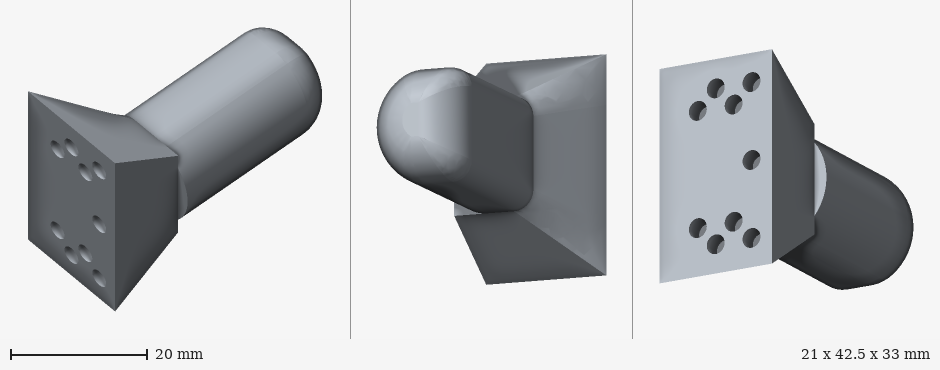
import cadquery as cq
import math

total_width = 21.0
total_length = 42.5
plate_width = 18.95
plate_height = 33.0

grip_left = 6.45
grip_height = 17.0
grip_start = 12.5
bulge_radius = 8.92
left_corner_radius = 3.0
right_corner_radius = 5.0
dome_radius = 6.0

flare_flat_height = 17.85

hole_diameter = 3.0
hole_depth = hole_diameter
hole_pitch = hole_diameter
right_hole_x = 15.5
outer_row_z = 12.0
inner_row_z = 9.0
holes_per_zigzag = 4

plate_half = plate_height / 2
grip_half = grip_height / 2
grip_length = total_length - grip_start
bulge_center_x = total_width - bulge_radius


def front_plane(y):
    """Plane at the given Y facing -Y, with its local axes along X and Z."""
    return cq.Plane(origin=(0, y, 0), xDir=(1, 0, 0), normal=(0, -1, 0))


def make_grip():
    block = (
        cq.Workplane("XY")
        .box(total_width, grip_length, grip_height, centered=(False, False, True))
        .translate((grip_left, grip_start, 0))
        .faces(">Y")
        .edges("not >X")
        .fillet(dome_radius)
    )
    bulge = (
        cq.Workplane(front_plane(grip_start))
        .moveTo(0, -bulge_radius)
        .lineTo(bulge_center_x, -bulge_radius)
        .threePointArc((total_width, 0), (bulge_center_x, bulge_radius))
        .lineTo(0, bulge_radius)
        .close()
        .extrude(-grip_length)
        .faces(">Y")
        .edges("not <X")
        .fillet(dome_radius)
    )
    grip = block.intersect(bulge)
    grip = grip.edges("|Y").edges("<X").fillet(left_corner_radius)
    return grip.edges("|Y").edges(">X").fillet(right_corner_radius)


def make_flare():
    """Straight-sided loft from the plate face to the left part of the grip outline."""
    corner_end_x = grip_left + left_corner_radius
    corner_end_z = grip_half - left_corner_radius
    corner_inset = left_corner_radius * (1 - math.sqrt(0.5))
    corner_mid_x = grip_left + corner_inset
    corner_mid_z = grip_half - corner_inset
    flat_half = flare_flat_height / 2

    return (
        cq.Workplane(front_plane(0))
        .moveTo(0, -flat_half)
        .lineTo(0, flat_half)
        .lineTo(0, plate_half)
        .lineTo(plate_width, plate_half)
        .lineTo(plate_width, -plate_half)
        .lineTo(0, -plate_half)
        .close()
        .workplane(offset=-grip_start)
        .moveTo(grip_left, -corner_end_z)
        .lineTo(grip_left, corner_end_z)
        .threePointArc((corner_mid_x, corner_mid_z), (corner_end_x, grip_half))
        .lineTo(plate_width, grip_half)
        .lineTo(plate_width, -grip_half)
        .lineTo(corner_end_x, -grip_half)
        .threePointArc((corner_mid_x, -corner_mid_z), (grip_left, -corner_end_z))
        .close()
        .loft(ruled=True)
    )


def make_holes():
    """Upper and lower zigzags of holes, mirrored about Z = 0, and one hole at mid-height."""
    points = [(right_hole_x, 0)]
    for side in (1, -1):
        for step in range(holes_per_zigzag):
            row_z = outer_row_z if step % 2 == 0 else inner_row_z
            points.append((right_hole_x - step * hole_pitch, side * row_z))
    return (
        cq.Workplane(front_plane(0))
        .pushPoints(points)
        .circle(hole_diameter / 2)
        .extrude(-hole_depth)
    )


result = make_grip().union(make_flare()).cut(make_holes())